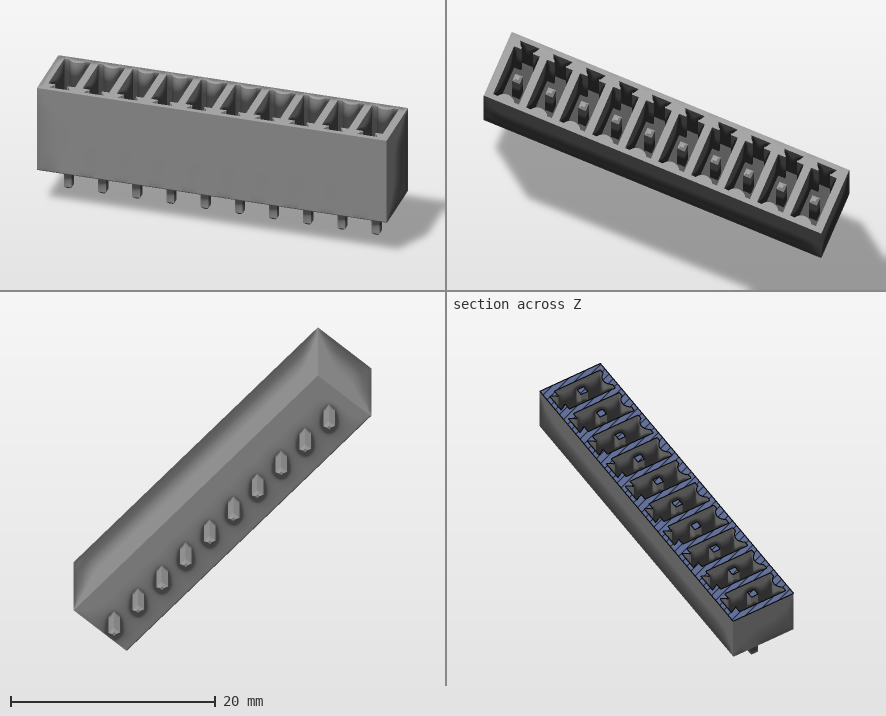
import cadquery as cq

PITCH = 3.5
POLE_COUNT = 10
END_MARGIN = 2.15
BODY_LENGTH = (POLE_COUNT - 1) * PITCH + 2 * END_MARGIN
BODY_WIDTH = 7.0
BODY_HEIGHT = 9.2
FRONT_FILLET = 0.2

WALL = 0.5
FLOOR = 1.2
POCKET_WIDTH = 2.73
POCKET_BACK_Y = BODY_WIDTH / 2 - WALL
POCKET_FRONT_Y = -2.25
KEYWAY_FRONT_Y = WALL - BODY_WIDTH / 2
KEYWAY_NECK_WIDTH = 1.25
KEYWAY_NECK_LENGTH = 0.2
KEYWAY_BACK_WIDTH = 1.45
KEYWAY_FRONT_WIDTH = 2.08
RIB_WIDTH = 1.75
RIB_DEPTH = 0.5

PIN_SIDE = 0.8
PIN_Y = 0.1
PIN_TAIL = 3.4
PIN_TOP_RECESS = 2.0
PIN_CHAMFER = 0.25

POLE_POSITIONS = [(i - (POLE_COUNT - 1) / 2) * PITCH for i in range(POLE_COUNT)]


def make_body():
    return (
        cq.Workplane("XY")
        .box(BODY_LENGTH, BODY_WIDTH, BODY_HEIGHT, centered=(True, True, False))
        .edges("<Y and <Z")
        .fillet(FRONT_FILLET)
    )


def make_pocket(x):
    """Void with a necked dovetail keyway at the front and a rounded rib standing in from the back."""
    half_pocket = POCKET_WIDTH / 2
    half_rib = RIB_WIDTH / 2
    half_neck = KEYWAY_NECK_WIDTH / 2
    half_key_back = KEYWAY_BACK_WIDTH / 2
    half_key_front = KEYWAY_FRONT_WIDTH / 2
    flare_y = POCKET_FRONT_Y - KEYWAY_NECK_LENGTH
    return (
        cq.Workplane("XY", origin=(x, 0, FLOOR))
        .moveTo(-half_pocket, POCKET_BACK_Y)
        .lineTo(-half_rib, POCKET_BACK_Y)
        .threePointArc((0, POCKET_BACK_Y - RIB_DEPTH), (half_rib, POCKET_BACK_Y))
        .lineTo(half_pocket, POCKET_BACK_Y)
        .lineTo(half_pocket, POCKET_FRONT_Y)
        .lineTo(half_neck, POCKET_FRONT_Y)
        .lineTo(half_neck, flare_y)
        .lineTo(half_key_back, flare_y)
        .lineTo(half_key_front, KEYWAY_FRONT_Y)
        .lineTo(-half_key_front, KEYWAY_FRONT_Y)
        .lineTo(-half_key_back, flare_y)
        .lineTo(-half_neck, flare_y)
        .lineTo(-half_neck, POCKET_FRONT_Y)
        .lineTo(-half_pocket, POCKET_FRONT_Y)
        .close()
        .extrude(BODY_HEIGHT - FLOOR)
    )


def make_pin(x):
    length = PIN_TAIL + BODY_HEIGHT - PIN_TOP_RECESS
    return (
        cq.Workplane("XY", origin=(x, PIN_Y, -PIN_TAIL))
        .box(PIN_SIDE, PIN_SIDE, length, centered=(True, True, False))
        .faces("<Z or >Z")
        .chamfer(PIN_CHAMFER)
    )


result = make_body()
for pole_x in POLE_POSITIONS:
    result = result.cut(make_pocket(pole_x))
for pole_x in POLE_POSITIONS:
    result = result.union(make_pin(pole_x))